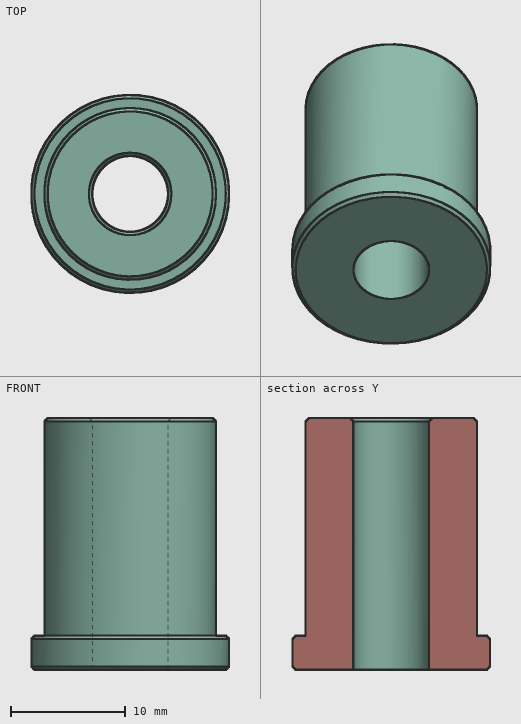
import cadquery as cq

total_height = 22.0
flange_diameter = 17.3
flange_height = 3.0
body_diameter = 15.0
bore_diameter = 6.6
edge_chamfer = 0.3


def chamfered_cylinder(diameter, height, edges):
    """Upright cylinder standing on Z = 0 with the selected rims chamfered."""
    cylinder = cq.Workplane("XY").circle(diameter / 2).extrude(height)
    return cylinder.edges(edges).chamfer(edge_chamfer)


def bore_cutter():
    """Through bore, widened by a chamfer at its upper mouth."""
    bore_radius = bore_diameter / 2
    mouth_radius = bore_radius + edge_chamfer
    profile = (
        cq.Workplane("XZ")
        .moveTo(0, 0)
        .lineTo(bore_radius, 0)
        .lineTo(bore_radius, total_height - edge_chamfer)
        .lineTo(mouth_radius, total_height)
        .lineTo(0, total_height)
        .close()
    )
    return profile.revolve(360, (0, 0, 0), (0, 1, 0))


flange = chamfered_cylinder(flange_diameter, flange_height, "%CIRCLE")

body = chamfered_cylinder(body_diameter, total_height, ">Z")

result = flange.union(body).cut(bore_cutter())